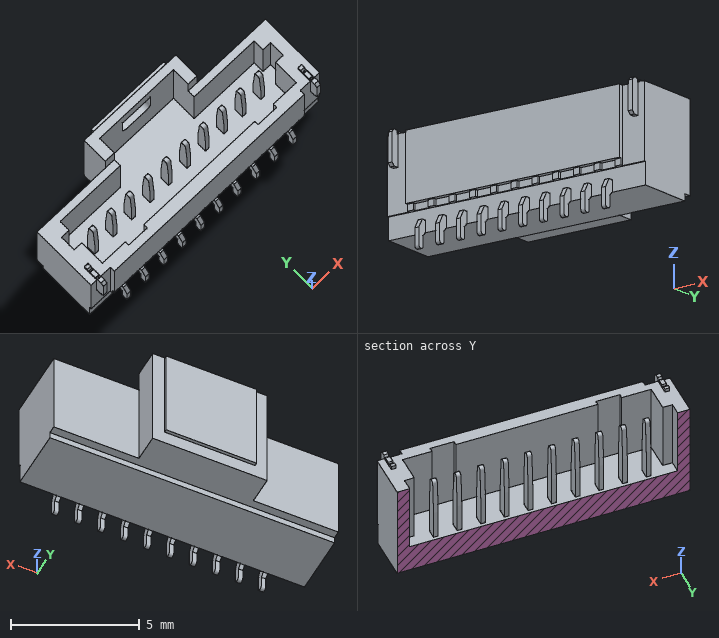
import cadquery as cq


LENGTH = 12.4
SHELL_BACK_Y = 3.03
SHELL_TOP_Z = 4.25
BASE_FRONT_Y = 0.07
BASE_TOP_Z = 0.97
STEP_FRONT_Y = 2.69
STEP_Z = 0.3

TOWER_WIDTH = 4.98
TOWER_BACK_Y = 4.22
TOWER_TOP_Z = 5.2
TOWER_WALL = 0.37
PAD_WIDTH = 3.94
PAD_THICKNESS = 0.14
PAD_BOTTOM_Z = 0.9
PAD_TOP_Z = TOWER_TOP_Z - 0.02

WINDOW_WIDTH = 1.53
WINDOW_BOTTOM_Z = 3.06
WINDOW_TOP_Z = 4.36
WINDOW_CORNER_RADIUS = 0.3

FLOOR_Z = 1.23
CAVITY_WIDTH = 10.52
CAVITY_FRONT_Y = 0.33
CAVITY_BACK_Y = SHELL_BACK_Y - CAVITY_FRONT_Y
TOWER_CAVITY_WIDTH = 4.0
END_NOTCH_SPAN = 11.33
END_NOTCH_FRONT_Y = 1.49
END_NOTCH_BACK_Y = 2.2
FRONT_NOTCH_WIDTH = 1.0
FRONT_NOTCH_X = 3.51
FRONT_NOTCH_Y = 0.15

CONTACT_COUNT = 10
CONTACT_ROW_SPAN = 9.0
CONTACT_WIDTH = 0.2
PITCH = CONTACT_ROW_SPAN / (CONTACT_COUNT - 1)
PIN_Y = 1.65
PIN_ROOT_THICKNESS = 0.42
PIN_TIP_THICKNESS = 0.26
PIN_TIP_Z = 4.04
PIN_TAPER_START_Z = 2.48
LEAD_THICKNESS = 0.29
LEAD_FRONT_Y = -0.37
LEAD_BOTTOM_Z = -0.71
LEAD_TOP_Z = 0.51
LEAD_SHOULDER_Y = -0.15
LEAD_SLOPE_END_Z = 0.12
LEAD_HEEL_Z = -0.15
LEAD_TIP_RADIUS = 0.12

PANEL_THICKNESS = 0.22
PANEL_BOTTOM_Z = 1.25
RIB_WIDTH = 0.3
RIB_THICKNESS = 0.11
PANEL_WIDTH = CONTACT_COUNT * PITCH + RIB_WIDTH

CLIP_X = 5.79
CLIP_WIDTH = 0.2
CLIP_TOP_Z = SHELL_TOP_Z + 0.15
CLIP_BACK_Y = 0.7
CLIP_FRONT_Y = LEAD_FRONT_Y
CLIP_BOTTOM_Z = 2.88
CLIP_CHAMFER = 0.14
CLIP_GROOVE_Z = SHELL_TOP_Z + 0.05
CLIP_PLATEAU_Z = SHELL_TOP_Z + 0.11
CLIP_PLATEAU_FRONT_Y = 0.07
CLIP_PLATEAU_BACK_Y = 0.37
CLIP_GROOVE_FRONT_Y = 0.41
CLIP_GROOVE_BACK_Y = 0.46
CLIP_HOOK_FRONT_Y = 0.53
CLIP_DIP_BACK_Y = 0.05
CLIP_LEG_BACK_Y = -0.05


def box(x_center, width, y_front, y_back, z_bottom, z_top):
    """Box centred on x_center along X and given by its limits along Y and Z."""
    return cq.Workplane("XY").box(
        width, y_back - y_front, z_top - z_bottom, centered=(True, False, False)
    ).translate((x_center, y_front, z_bottom))


def side_plate(profile, x_center, width):
    """Closed (y, z) outline extruded along X, centred on x_center."""
    return (
        cq.Workplane("YZ", origin=(x_center, 0, 0))
        .polyline(profile).close().extrude(width / 2, both=True)
    )


def make_outer_shape():
    shell = box(0, LENGTH, 0, SHELL_BACK_Y, BASE_TOP_Z, SHELL_TOP_Z)
    base = box(0, LENGTH, BASE_FRONT_Y, SHELL_BACK_Y, 0, BASE_TOP_Z)
    raised_underside = box(0, LENGTH, STEP_FRONT_Y, SHELL_BACK_Y, 0, STEP_Z)
    tower = box(0, TOWER_WIDTH, CAVITY_BACK_Y, TOWER_BACK_Y, STEP_Z, TOWER_TOP_Z)
    tower_front_relief = box(0, TOWER_WIDTH, CAVITY_BACK_Y, SHELL_BACK_Y, SHELL_TOP_Z, TOWER_TOP_Z)
    return shell.union(base).cut(raised_underside).union(tower.cut(tower_front_relief))


def make_cavity():
    cavity = box(0, CAVITY_WIDTH, CAVITY_FRONT_Y, CAVITY_BACK_Y, FLOOR_Z, TOWER_TOP_Z)
    cavity = cavity.union(
        box(0, TOWER_CAVITY_WIDTH, CAVITY_FRONT_Y, TOWER_BACK_Y - TOWER_WALL, FLOOR_Z, TOWER_TOP_Z)
    )
    cavity = cavity.union(
        box(0, END_NOTCH_SPAN, END_NOTCH_FRONT_Y, END_NOTCH_BACK_Y, FLOOR_Z, TOWER_TOP_Z)
    )
    for x in (-FRONT_NOTCH_X, FRONT_NOTCH_X):
        notch = box(x, FRONT_NOTCH_WIDTH, FRONT_NOTCH_Y, CAVITY_BACK_Y, FLOOR_Z, TOWER_TOP_Z)
        cavity = cavity.union(notch)
    return cavity


def make_window():
    """Opening through the tower wall, rounded at its two lower corners."""
    window = box(
        0, WINDOW_WIDTH, TOWER_BACK_Y - TOWER_WALL, TOWER_BACK_Y, WINDOW_BOTTOM_Z, WINDOW_TOP_Z
    )
    lower_corners = window.faces("<Z").edges("|Y")
    return lower_corners.fillet(WINDOW_CORNER_RADIUS)


def make_pad():
    """Raised pad on the tower back, closing the window from behind."""
    return box(0, PAD_WIDTH, TOWER_BACK_Y, TOWER_BACK_Y + PAD_THICKNESS, PAD_BOTTOM_Z, PAD_TOP_Z)


def make_front_panel():
    """Panel on the front face, with a rib below it on either side of every contact."""
    panel = box(0, PANEL_WIDTH, -PANEL_THICKNESS, 0, PANEL_BOTTOM_Z, SHELL_TOP_Z)
    for i in range(CONTACT_COUNT + 1):
        x = (i - CONTACT_COUNT / 2) * PITCH
        panel = panel.union(box(x, RIB_WIDTH, -RIB_THICKNESS, 0, BASE_TOP_Z, PANEL_BOTTOM_Z))
    return panel


def make_pin(x):
    """Mating pin whose upper part tapers in thickness to a rounded tip."""
    half_root = PIN_ROOT_THICKNESS / 2
    half_tip = PIN_TIP_THICKNESS / 2
    shoulder_z = PIN_TIP_Z - half_tip
    return (
        cq.Workplane("YZ", origin=(x, 0, 0))
        .moveTo(PIN_Y - half_root, FLOOR_Z)
        .lineTo(PIN_Y - half_root, PIN_TAPER_START_Z)
        .lineTo(PIN_Y - half_tip, shoulder_z)
        .threePointArc((PIN_Y, PIN_TIP_Z), (PIN_Y + half_tip, shoulder_z))
        .lineTo(PIN_Y + half_root, PIN_TAPER_START_Z)
        .lineTo(PIN_Y + half_root, FLOOR_Z)
        .close()
        .extrude(CONTACT_WIDTH / 2, both=True)
    )


def make_lead(x):
    """Solder lead that leaves the base front and bends down below the housing."""
    back_y = LEAD_FRONT_Y + LEAD_THICKNESS
    lead = side_plate(
        [
            (BASE_FRONT_Y, 0),
            (BASE_FRONT_Y, LEAD_TOP_Z),
            (LEAD_SHOULDER_Y, LEAD_TOP_Z),
            (LEAD_FRONT_Y, LEAD_SLOPE_END_Z),
            (LEAD_FRONT_Y, LEAD_BOTTOM_Z),
            (back_y, LEAD_BOTTOM_Z),
            (back_y, LEAD_HEEL_Z),
        ],
        x, CONTACT_WIDTH,
    )
    return lead.faces("<Z").edges("|X").fillet(LEAD_TIP_RADIUS)


def make_housing():
    housing = make_outer_shape().union(make_pad()).union(make_front_panel())
    housing = housing.cut(make_cavity()).cut(make_window())
    for i in range(CONTACT_COUNT):
        x = i * PITCH - CONTACT_ROW_SPAN / 2
        housing = housing.union(make_pin(x)).union(make_lead(x))
    return housing


def make_clip(x):
    """Solder clip: a grooved bar on the shell top and a chamfered leg down the front face."""
    return side_plate(
        [
            (0, SHELL_TOP_Z),
            (CLIP_BACK_Y, SHELL_TOP_Z),
            (CLIP_BACK_Y, CLIP_TOP_Z),
            (CLIP_HOOK_FRONT_Y, CLIP_TOP_Z),
            (CLIP_GROOVE_BACK_Y, CLIP_GROOVE_Z),
            (CLIP_GROOVE_FRONT_Y, CLIP_GROOVE_Z),
            (CLIP_PLATEAU_BACK_Y, CLIP_PLATEAU_Z),
            (CLIP_PLATEAU_FRONT_Y, CLIP_PLATEAU_Z),
            (CLIP_DIP_BACK_Y, CLIP_GROOVE_Z),
            (0, CLIP_GROOVE_Z),
            (CLIP_LEG_BACK_Y, CLIP_TOP_Z),
            (CLIP_FRONT_Y + CLIP_CHAMFER, CLIP_TOP_Z),
            (CLIP_FRONT_Y, CLIP_TOP_Z - CLIP_CHAMFER),
            (CLIP_FRONT_Y, CLIP_BOTTOM_Z + CLIP_CHAMFER),
            (CLIP_FRONT_Y + CLIP_CHAMFER, CLIP_BOTTOM_Z),
            (0, CLIP_BOTTOM_Z),
        ],
        x, CLIP_WIDTH,
    )


housing = make_housing()
clips = [make_clip(x) for x in (-CLIP_X, CLIP_X)]

result = cq.Compound.makeCompound([housing.val(), *(clip.val() for clip in clips)])